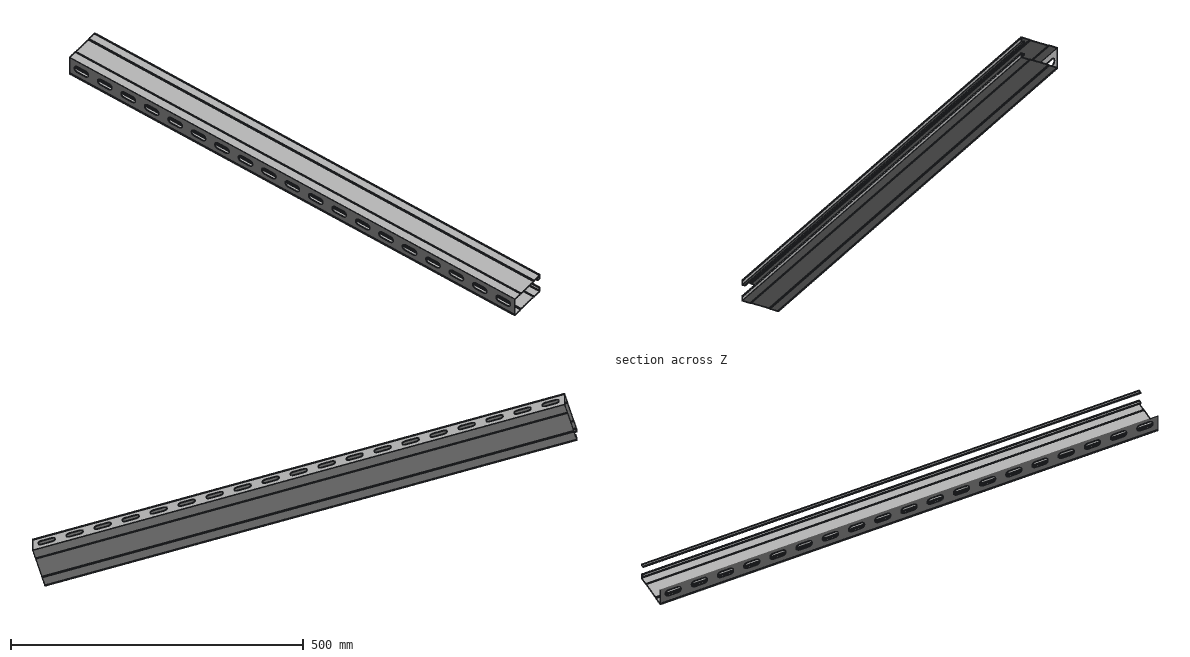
import cadquery as cq

length = 950.0
depth = 72.0
height = 41.0
wall = 1.4

recess_depth = 0.7
recess_width = 39.0
recess_ramp = 2.0

mouth = 22.0
lip_depth = 7.0
lip_hook = 3.0

slot_count = 19
slot_length = 30.0
slot_height = 13.0
slot_pitch = length / slot_count

back = -depth / 2
front = depth / 2
top = height / 2


def upper_half_section():
    """Section above the mid-plane, as corner points in Y and Z."""
    inner_top = top - wall
    recess_top = top - recess_depth
    recess_inner = recess_top - wall
    recess_edge = recess_width / 2
    recess_floor = recess_edge - recess_ramp
    lip_face = mouth / 2
    hook_top = lip_face + lip_hook
    lip_end = front - lip_depth
    outside = [
        (back, 0),
        (back, top),
        (-recess_edge, top),
        (-recess_floor, recess_top),
        (recess_floor, recess_top),
        (recess_edge, top),
        (front, top),
        (front, lip_face),
    ]
    lip = [
        (lip_end, lip_face),
        (lip_end, hook_top),
        (lip_end + wall, hook_top),
        (lip_end + wall, lip_face + wall),
    ]
    inside = [
        (front - wall, lip_face + wall),
        (front - wall, inner_top),
        (recess_edge, inner_top),
        (recess_floor, recess_inner),
        (-recess_floor, recess_inner),
        (-recess_edge, inner_top),
        (back + wall, inner_top),
        (back + wall, 0),
    ]
    return outside + lip + inside


def channel():
    """Plain channel: the upper half extruded along X and mirrored about Z = 0."""
    half = (
        cq.Workplane("YZ")
        .polyline(upper_half_section())
        .close()
        .extrude(length / 2, both=True)
    )
    return half.union(half.mirror("XY"))


def back_slots():
    """Row of slot-shaped cutters filling the thickness of the back wall."""
    return (
        cq.Workplane("XZ", origin=(0, back + wall, 0))
        .rarray(slot_pitch, 9.5, slot_count, 1)
        .slot2D(slot_length, slot_height)
        .extrude(wall)
    )


result = channel().cut(back_slots())